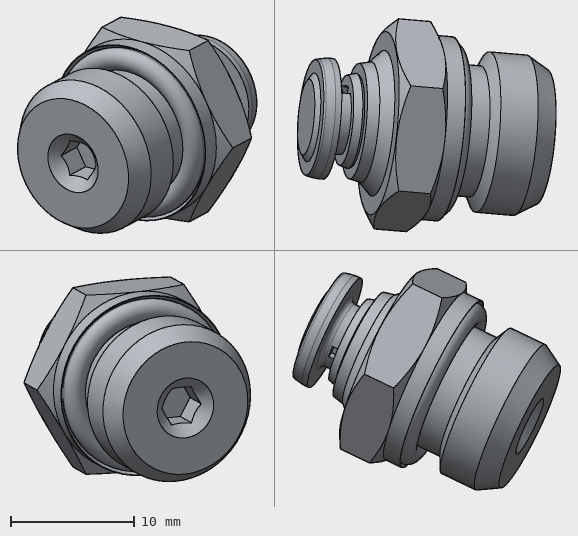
import cadquery as cq
import math

total_length = 19.5

thread_radius = 6.53
thread_tip_radius = 5.52
thread_chamfer_end = 1.74
thread_end = 4.84
neck_radius = 5.35
neck_start = 5.46

seal_front = 7.22
seal_outer_radius = 7.2
collar_start = 8.0
recess_rim_radius = 7.45
recess_floor_radius = 7.14
recess_floor = 8.48

across_flats = 15.0
hex_start = 9.5
hex_end = 13.51
hex_chamfer_angle = 30.0
rear_chamfer_radius = 7.45

shoulder_base_radius = 5.93
shoulder_radius = 4.91
shoulder_top_radius = 4.7
shoulder_cone_end = 14.53
shoulder_end = 15.5

ring_radius = 3.88
ring_base_radius = 3.75
ring_top_radius = 3.67
ring_widest = 15.7
ring_end = 16.4
sleeve_radius = 2.8
flare_radius = 3.24
flare_start = 17.22
button_radius = 4.91
button_start = 17.69
button_taper_start = 18.2
button_edge_radius = 4.78
button_edge = 18.95
button_top_radius = 4.7
button_end = 19.13
crown_base_radius = 3.6
crown_top_radius = 3.08

notch_angle = 140.0
notch_width = 1.05
notch_floor_radius = 2.05
notch_end = 17.02

socket_flats = 3.0
socket_depth = 3.0
lead_in_radius = 2.5
lead_in_angle = 45.0

hex_radius = across_flats / 2
hex_corner_radius = hex_radius / math.cos(math.pi / 6)


def turned(outline):
    """Revolve a closed (radius, y) outline about the Y axis."""
    return outline.close().revolve(360, (0, 0, 0), (0, 1, 0))


def hex_prism(flats, start, end):
    """Hexagonal prism along Y with its corners on the X axis."""
    corner_diameter = flats / math.cos(math.pi / 6)
    plane = cq.Workplane("XZ", origin=(0, start, 0))
    return plane.polygon(6, corner_diameter).extrude(start - end)


def front_body():
    outline = (
        cq.Workplane("XY")
        .lineTo(thread_tip_radius, 0)
        .lineTo(thread_radius, thread_chamfer_end)
        .lineTo(thread_radius, thread_end)
        .lineTo(neck_radius, neck_start)
        .lineTo(neck_radius, recess_floor)
        .lineTo(recess_floor_radius, recess_floor)
        .lineTo(recess_rim_radius, collar_start)
        .lineTo(hex_radius, collar_start)
        .lineTo(hex_radius, hex_start)
        .lineTo(0, hex_start)
    )
    return turned(outline)


def sealing_ring():
    section_radius = (seal_outer_radius - neck_radius) / 2
    center = (neck_radius + section_radius, seal_front + section_radius)
    section = cq.Workplane("XY").center(*center).circle(section_radius)
    return section.revolve(360, (-center[0], 0, 0), (-center[0], 1, 0))


def chamfered_hexagon():
    slope = math.tan(math.radians(hex_chamfer_angle))
    front_rise = (hex_corner_radius - hex_radius) * slope
    rear_drop = (hex_corner_radius - rear_chamfer_radius) * slope
    envelope = (
        cq.Workplane("XY")
        .moveTo(0, hex_start)
        .lineTo(hex_radius, hex_start)
        .lineTo(hex_corner_radius, hex_start + front_rise)
        .lineTo(hex_corner_radius, hex_end - rear_drop)
        .lineTo(rear_chamfer_radius, hex_end)
        .lineTo(0, hex_end)
    )
    return hex_prism(across_flats, hex_start, hex_end).intersect(turned(envelope))


def rear_body():
    rise = button_start - flare_start
    spread = flare_radius - sleeve_radius
    outline = (
        cq.Workplane("XY")
        .moveTo(0, hex_end)
        .lineTo(shoulder_base_radius, hex_end)
        .lineTo(shoulder_radius, shoulder_cone_end)
        .lineTo(shoulder_top_radius, shoulder_end)
        .lineTo(ring_base_radius, shoulder_end)
        .lineTo(ring_radius, ring_widest)
        .lineTo(ring_top_radius, ring_end)
        .lineTo(sleeve_radius, ring_end)
        .lineTo(sleeve_radius, flare_start)
        .radiusArc((flare_radius, button_start), (rise**2 + spread**2) / (2 * spread))
        .lineTo(button_radius, button_start)
        .lineTo(button_radius, button_taper_start)
        .lineTo(button_edge_radius, button_edge)
        .lineTo(button_top_radius, button_end)
        .lineTo(crown_base_radius, button_end)
        .lineTo(crown_top_radius, total_length)
        .lineTo(0, total_length)
    )
    return turned(outline)


def sleeve_notch():
    radial_length = sleeve_radius - notch_floor_radius
    box = cq.Workplane("XY").box(
        radial_length, notch_end - ring_end, notch_width, centered=(False, False, True)
    )
    box = box.translate((notch_floor_radius, ring_end, 0))
    return box.rotate((0, 0, 0), (0, 1, 0), -notch_angle)


def hex_socket():
    lead_in_depth = lead_in_radius / math.tan(math.radians(lead_in_angle))
    lead_in = turned(cq.Workplane("XY").lineTo(lead_in_radius, 0).lineTo(0, lead_in_depth))
    return hex_prism(socket_flats, 0, socket_depth).union(lead_in)


body = front_body().union(chamfered_hexagon()).union(rear_body()).union(sealing_ring())
result = body.cut(sleeve_notch()).cut(hex_socket())